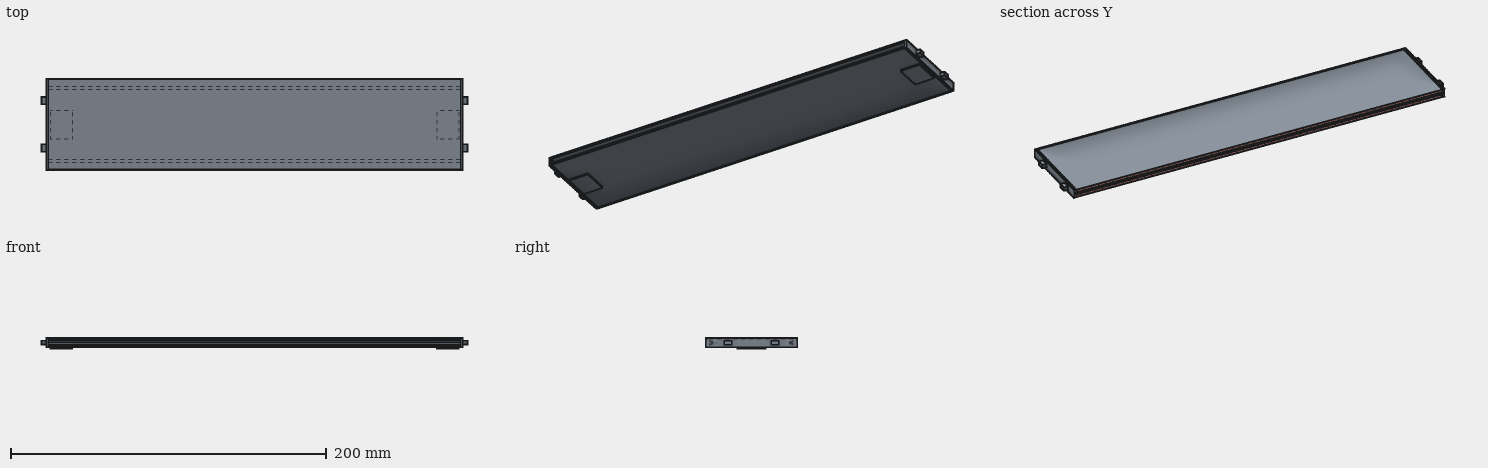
import cadquery as cq

overall_length = 270.0
width = 58.0
overall_height = 6.9

cap_thickness = 1.5
tab_length = 3.0
tab_width = 4.8
tab_height = 2.6
tab_spacing = 30.0

pad_thickness = 0.9
pad_length = 14.0
pad_width = 18.0
pad_end_gap = 1.0

groove_height = 3.0
groove_depth = 5.0

wall = 0.5

panel_height = overall_height - pad_thickness
panel_length = overall_length - 2 * (tab_length + cap_thickness)
panel_end = panel_length / 2
mid_height = panel_height / 2
both_sides = (-1, 1)


def grooved_profile():
    """Closed cross-section with a V groove in each long side."""
    side = width / 2
    groove_root = side - groove_depth
    groove_bottom = mid_height - groove_height / 2
    groove_top = mid_height + groove_height / 2
    right_side = [
        (side, 0),
        (side, groove_bottom),
        (groove_root, mid_height),
        (side, groove_top),
        (side, panel_height),
    ]
    left_side = [(-y, z) for y, z in reversed(right_side)]
    return cq.Workplane("YZ").polyline(right_side + left_side).close()


def make_core():
    """Solid filling that keeps one wall thickness inside the grooved profile."""
    return grooved_profile().offset2D(-wall, "intersection").extrude(panel_end, both=True)


def make_sleeve(core):
    """Thin grooved sleeve, open at both ends, with a foot pad near each end."""
    sleeve = grooved_profile().extrude(panel_end, both=True).cut(core)
    pad_x = panel_end - pad_end_gap - pad_length / 2
    for end in both_sides:
        pad = cq.Workplane("XY").box(pad_length, pad_width, pad_thickness)
        sleeve = sleeve.union(pad.translate((end * pad_x, 0, -pad_thickness / 2)))
    return sleeve


def make_end_cap(end):
    """Plate closing one end, with two tabs facing outward; end is -1 or 1."""
    cap_x = panel_end + cap_thickness / 2
    tab_x = panel_end + cap_thickness + tab_length / 2
    cap = cq.Workplane("XY").box(cap_thickness, width, panel_height)
    cap = cap.translate((end * cap_x, 0, mid_height))
    for side in both_sides:
        tab = cq.Workplane("XY").box(tab_length, tab_width, tab_height)
        cap = cap.union(tab.translate((end * tab_x, side * tab_spacing / 2, mid_height)))
    return cap


core = make_core()
sleeve = make_sleeve(core)
end_caps = [make_end_cap(end) for end in both_sides]

result = cq.Compound.makeCompound([sleeve.val(), core.val(), *[cap.val() for cap in end_caps]])